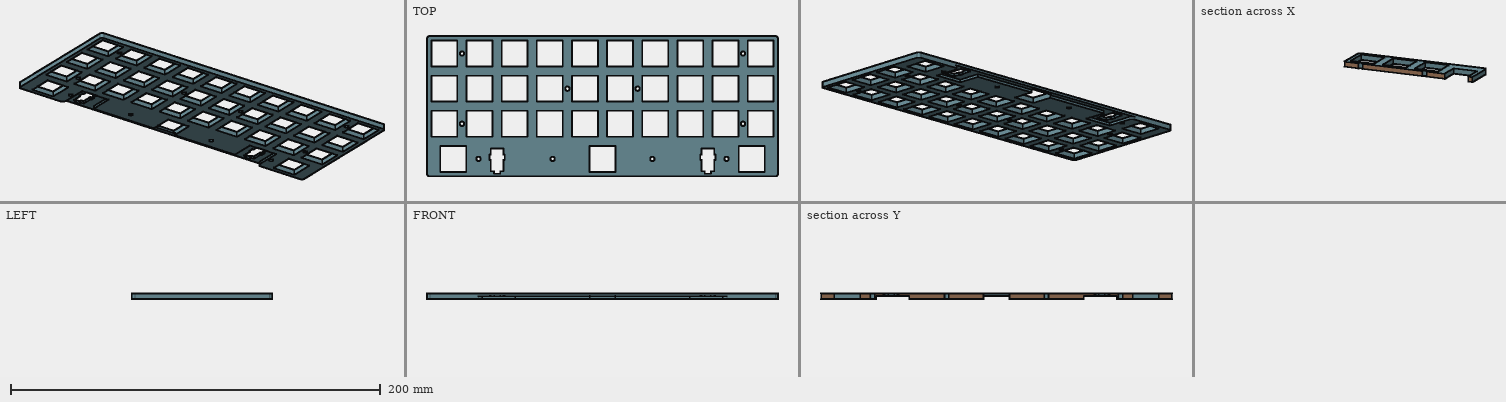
import cadquery as cq

PITCH = 19.0
COLUMNS = 10
ROWS = 4
LENGTH = COLUMNS * PITCH
WIDTH = ROWS * PITCH
THICKNESS = 3.0
CORNER_RADIUS = 1.5

KEY_SIZE = 14.0
TOP_ROW_Y = (ROWS - 1) * PITCH / 2
BOTTOM_ROW_Y = -TOP_ROW_Y
OUTER_KEY_X = 4.25 * PITCH
STABILIZER_X = 3 * PITCH

HOLE_DIAMETER = 2.3
LOWER_HOLES_X = (27.0, 67.2)

STAB_WIDTH = 6.7
STAB_TOP = 5.5
STAB_BOTTOM = -6.7
WING_SPAN = 8.2
WING_TOP = 2.3
WING_BOTTOM = -0.5
TAB_WIDTH = 3.2
TAB_BOTTOM = -8.0

RELIEF_HEIGHT = THICKNESS / 2
RELIEF_OUTER_X = 65.2
RELIEF_INNER_X = 47.5
RELIEF_MOUTH_RADIUS = 2.3
STAB_RELIEF_DEPTH = 17.1
CHANNEL_DEPTH = 3.5

FRONT_Y = -WIDTH / 2


def make_plate():
    plate = cq.Workplane("XY").box(LENGTH, WIDTH, THICKNESS, centered=(True, True, False))
    return plate.edges("|Z").fillet(CORNER_RADIUS)


def through(sketch):
    """Extrude a sketch on the bottom plane through the whole plate."""
    return sketch.extrude(THICKNESS)


def key_windows():
    full_rows_y = [TOP_ROW_Y - row * PITCH for row in range(ROWS - 1)]
    columns_x = [(column - (COLUMNS - 1) / 2) * PITCH for column in range(COLUMNS)]
    centers = [(x, y) for x in columns_x for y in full_rows_y]
    centers += [(x, BOTTOM_ROW_Y) for x in (-OUTER_KEY_X, 0, OUTER_KEY_X)]
    return through(cq.Workplane("XY").pushPoints(centers).rect(KEY_SIZE, KEY_SIZE))


def screw_holes():
    half_pattern = [(4 * PITCH, TOP_ROW_Y), (PITCH, TOP_ROW_Y - PITCH), (4 * PITCH, TOP_ROW_Y - 2 * PITCH)]
    half_pattern += [(x, BOTTOM_ROW_Y) for x in LOWER_HOLES_X]
    centers = [(side * x, y) for x, y in half_pattern for side in (-1, 1)]
    return through(cq.Workplane("XY").pushPoints(centers).circle(HOLE_DIAMETER / 2))


def stabilizer_cutout(center_x):
    body_x = STAB_WIDTH / 2
    wing_x = WING_SPAN / 2
    tab_x = TAB_WIDTH / 2
    right_side = [
        (body_x, STAB_TOP),
        (body_x, WING_TOP),
        (wing_x, WING_TOP),
        (wing_x, WING_BOTTOM),
        (body_x, WING_BOTTOM),
        (body_x, STAB_BOTTOM),
        (tab_x, STAB_BOTTOM),
        (tab_x, TAB_BOTTOM),
    ]
    left_side = [(-x, y) for x, y in reversed(right_side)]
    outline = cq.Workplane("XY", origin=(center_x, BOTTOM_ROW_Y, 0)).polyline(right_side + left_side)
    return through(outline.close())


def underside_relief():
    """Deep pockets around both stabilizers, joined by a shallow channel along the front edge."""
    mouth_x = RELIEF_OUTER_X + RELIEF_MOUTH_RADIUS
    mouth_y = FRONT_Y + RELIEF_MOUTH_RADIUS
    pocket_y = FRONT_Y + STAB_RELIEF_DEPTH
    channel_y = FRONT_Y + CHANNEL_DEPTH
    return (
        cq.Workplane("XY")
        .moveTo(-mouth_x, FRONT_Y)
        .radiusArc((-RELIEF_OUTER_X, mouth_y), -RELIEF_MOUTH_RADIUS)
        .lineTo(-RELIEF_OUTER_X, pocket_y)
        .lineTo(-RELIEF_INNER_X, pocket_y)
        .lineTo(-RELIEF_INNER_X, channel_y)
        .lineTo(RELIEF_INNER_X, channel_y)
        .lineTo(RELIEF_INNER_X, pocket_y)
        .lineTo(RELIEF_OUTER_X, pocket_y)
        .lineTo(RELIEF_OUTER_X, mouth_y)
        .radiusArc((mouth_x, FRONT_Y), -RELIEF_MOUTH_RADIUS)
        .close()
        .extrude(RELIEF_HEIGHT)
    )


result = make_plate().cut(key_windows()).cut(screw_holes())
for stabilizer_x in (-STABILIZER_X, STABILIZER_X):
    result = result.cut(stabilizer_cutout(stabilizer_x))
result = result.cut(underside_relief())